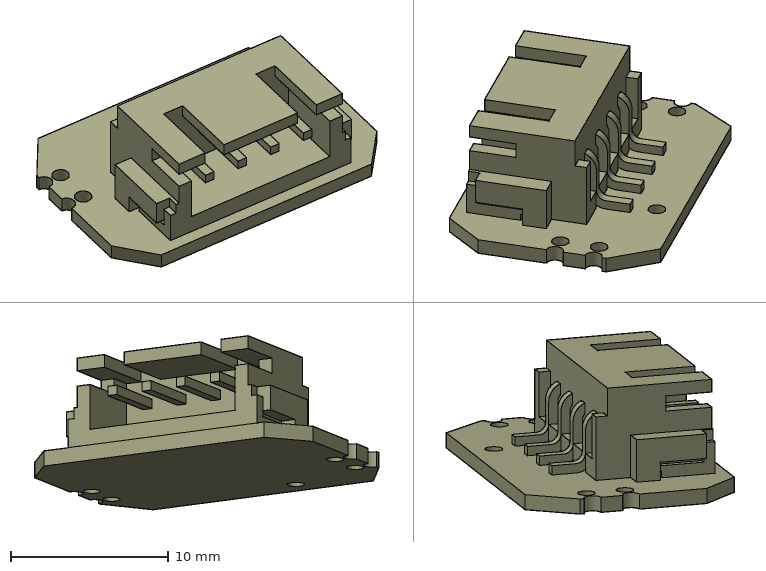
import cadquery as cq

BOARD_LENGTH_X = 13.97
BOARD_LENGTH_Y = 20.35
BOARD_THICKNESS = 1.0
CORNER_CUT_Y = 2.12
REAR_CORNER_CUT_X = 3.0
MOUTH_CORNER_CUT_X = 2.52
HOLE_DIAMETER = 1.1
EDGE_HOLE_COLUMNS_X = (3.82, 6.39)
EDGE_HOLE_Y = 8.9
LONE_HOLE_X = 1.63
LONE_HOLE_Y = 3.32

TOTAL_HEIGHT = 7.0
HOUSING_CENTER_Y = 0.15
HOUSING_WIDTH = 12.5
STEP_X = 5.37
REAR_WALL_X = 6.15
MOUTH_X = 13.12
POST_TOP = 5.17
POST_WIDTH = 0.83
LEDGE_TOP = 2.24
CAVITY_BACK_X = 8.45
CAVITY_CEILING = 6.16
CAVITY_FLOOR = LEDGE_TOP
SIDE_WALL = 0.95
SIDE_SLOT_BACK_X = 10.05
TOP_SLOT_WIDTH = 1.45
TOP_SLOT_OFFSET_Y = 3.54

PIN_COUNT = 4
PIN_PITCH = 2.5
PIN_WIDTH = 0.65
PIN_THICKNESS = 0.61
PIN_BEND_RADIUS = 0.63
PIN_FOOT_X = 3.13
PIN_TIP_X = 12.94
PIN_TOP = 4.95
PIN_GROOVE_WIDTH = 0.71

EAR_SPAN = 14.95
EAR_REAR_X = 7.69
EAR_FRONT_X = 12.37
EAR_LEG_FRONT_X = 9.28
EAR_TOP = 3.78
EAR_UNDERSIDE = 2.18
WEB_SPAN = 12.98
PLATE_SPAN = 13.83
PLATE_TOP = 3.07
PLATE_BAR_TOP = 1.8
PLATE_NOTCH_LENGTH = 0.26
PLATE_NOTCH_HEIGHT = 0.43


def box(x_min, x_max, y_min, y_max, z_min, z_max):
    """Axis-aligned block between the given limits."""
    size = (x_max - x_min, y_max - y_min, z_max - z_min)
    return cq.Workplane("XY").box(*size, centered=False).translate((x_min, y_min, z_min))


def centered_box(x_min, x_max, y_center, width, z_min, z_max):
    """Axis-aligned block with its width centered on y_center."""
    return box(x_min, x_max, y_center - width / 2, y_center + width / 2, z_min, z_max)


def groove_positions():
    """Y positions of the pin grooves, evenly pitched about the housing center."""
    first = HOUSING_CENTER_Y - PIN_PITCH * (PIN_COUNT - 1) / 2
    return [first + PIN_PITCH * i for i in range(PIN_COUNT)]


def make_board():
    """Board with cut corners, through holes and half-round edge notches."""
    half_y = BOARD_LENGTH_Y / 2
    side_y = half_y - CORNER_CUT_Y
    rear_x = REAR_CORNER_CUT_X
    mouth_x = BOARD_LENGTH_X - MOUTH_CORNER_CUT_X
    outline = [
        (0, -side_y),
        (rear_x, -half_y),
        (mouth_x, -half_y),
        (BOARD_LENGTH_X, -side_y),
        (BOARD_LENGTH_X, side_y),
        (mouth_x, half_y),
        (rear_x, half_y),
        (0, side_y),
    ]
    hole_centers = [(LONE_HOLE_X, LONE_HOLE_Y)]
    for x in EDGE_HOLE_COLUMNS_X:
        for y in (EDGE_HOLE_Y, half_y):
            hole_centers += [(x, y), (x, -y)]
    board = cq.Workplane("XY").polyline(outline).close().extrude(BOARD_THICKNESS)
    holes = cq.Workplane("XY").pushPoints(hole_centers).circle(HOLE_DIAMETER / 2)
    return board.cut(holes.extrude(BOARD_THICKNESS))


def make_ear(side):
    """Ear, web and slotted hold-down plate; side is +1 for +Y and -1 for -Y."""

    def side_block(x_min, x_max, inner_span, outer_span, z_min, z_max):
        inner_y = HOUSING_CENTER_Y + side * inner_span / 2
        outer_y = HOUSING_CENTER_Y + side * outer_span / 2
        return box(x_min, x_max, min(inner_y, outer_y), max(inner_y, outer_y), z_min, z_max)

    notch_front_x = EAR_LEG_FRONT_X + PLATE_NOTCH_LENGTH
    notch_top = BOARD_THICKNESS + PLATE_NOTCH_HEIGHT
    leg = side_block(EAR_REAR_X, EAR_LEG_FRONT_X, HOUSING_WIDTH, EAR_SPAN, BOARD_THICKNESS, EAR_TOP)
    arm = side_block(EAR_REAR_X, EAR_FRONT_X, HOUSING_WIDTH, EAR_SPAN, EAR_UNDERSIDE, EAR_TOP)
    web = side_block(EAR_LEG_FRONT_X, MOUTH_X, HOUSING_WIDTH, WEB_SPAN, BOARD_THICKNESS, EAR_TOP)
    plate_bar = side_block(
        EAR_LEG_FRONT_X, MOUTH_X, WEB_SPAN, PLATE_SPAN, BOARD_THICKNESS, PLATE_BAR_TOP
    )
    plate_notch = side_block(
        EAR_LEG_FRONT_X, notch_front_x, WEB_SPAN, PLATE_SPAN, BOARD_THICKNESS, notch_top
    )
    plate_column = side_block(EAR_FRONT_X, MOUTH_X, WEB_SPAN, PLATE_SPAN, BOARD_THICKNESS, PLATE_TOP)
    return leg.union(arm).union(web).union(plate_bar.cut(plate_notch)).union(plate_column)


def make_housing():
    """Housing with stepped rear, open cavity, side slots and two top slots."""
    center = HOUSING_CENTER_Y
    body = centered_box(REAR_WALL_X, MOUTH_X, center, HOUSING_WIDTH, BOARD_THICKNESS, TOTAL_HEIGHT)
    step = centered_box(STEP_X, REAR_WALL_X, center, HOUSING_WIDTH, BOARD_THICKNESS, POST_TOP)
    recess_width = HOUSING_WIDTH - 2 * POST_WIDTH
    recess = centered_box(STEP_X, REAR_WALL_X, center, recess_width, LEDGE_TOP, POST_TOP)
    housing = body.union(step.cut(recess))

    cavity_width = HOUSING_WIDTH - 2 * SIDE_WALL
    cavity = centered_box(CAVITY_BACK_X, MOUTH_X, center, cavity_width, CAVITY_FLOOR, CAVITY_CEILING)
    side_slots = centered_box(SIDE_SLOT_BACK_X, MOUTH_X, center, HOUSING_WIDTH, POST_TOP, CAVITY_CEILING)
    housing = housing.cut(cavity).cut(side_slots)
    for side in (-1, 1):
        slot_y = center + side * TOP_SLOT_OFFSET_Y
        top_slot = centered_box(
            CAVITY_BACK_X, MOUTH_X, slot_y, TOP_SLOT_WIDTH, CAVITY_CEILING, TOTAL_HEIGHT
        )
        housing = housing.cut(top_slot)
    for groove_y in groove_positions():
        groove = centered_box(
            STEP_X, REAR_WALL_X, groove_y, PIN_GROOVE_WIDTH, BOARD_THICKNESS, LEDGE_TOP
        )
        housing = housing.cut(groove)
    return housing


def make_pin(groove_y):
    """S-bent pin lying against the -Y flank of its groove."""
    inner = PIN_BEND_RADIUS
    rear_x = STEP_X
    front_x = STEP_X + PIN_THICKNESS
    foot_top = BOARD_THICKNESS + PIN_THICKNESS
    blade_bottom = PIN_TOP - PIN_THICKNESS
    lower_bend_x = rear_x - inner
    lower_bend_z = foot_top + inner
    upper_bend_x = front_x + inner
    upper_bend_z = blade_bottom - inner
    pin_min_y = groove_y - PIN_GROOVE_WIDTH / 2
    profile = (
        cq.Workplane("XZ")
        .moveTo(PIN_FOOT_X, BOARD_THICKNESS)
        .lineTo(lower_bend_x, BOARD_THICKNESS)
        .tangentArcPoint((front_x, lower_bend_z), relative=False)
        .lineTo(front_x, upper_bend_z)
        .tangentArcPoint((upper_bend_x, blade_bottom), relative=False)
        .lineTo(PIN_TIP_X, blade_bottom)
        .lineTo(PIN_TIP_X, PIN_TOP)
        .lineTo(upper_bend_x, PIN_TOP)
        .tangentArcPoint((rear_x, upper_bend_z), relative=False)
        .lineTo(rear_x, lower_bend_z)
        .tangentArcPoint((lower_bend_x, foot_top), relative=False)
        .lineTo(PIN_FOOT_X, foot_top)
        .close()
    )
    return profile.extrude(-PIN_WIDTH).translate((0, pin_min_y, 0))


result = make_board().union(make_housing())
for ear_side in (-1, 1):
    result = result.union(make_ear(ear_side))
for pin_y in groove_positions():
    result = result.union(make_pin(pin_y))